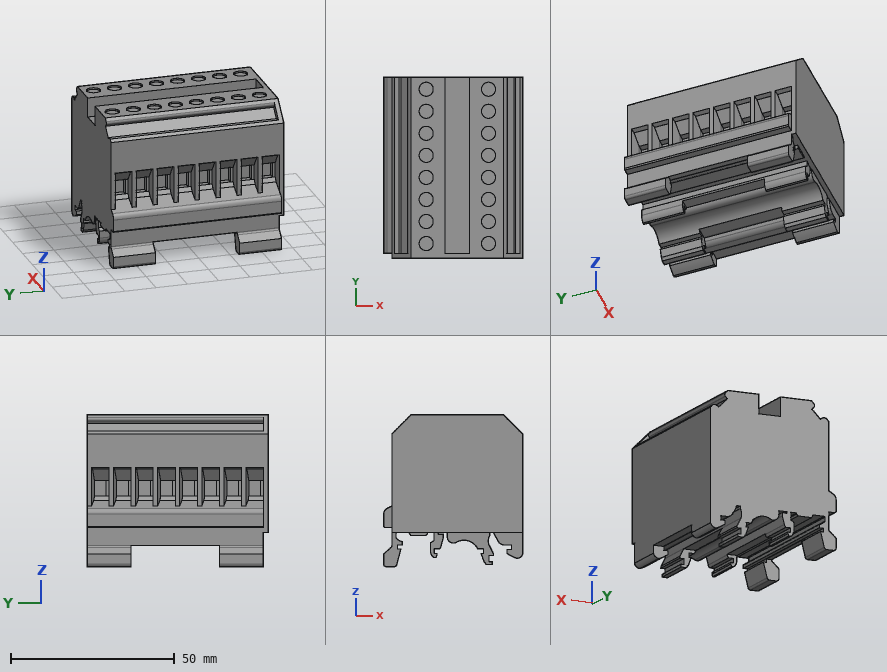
import cadquery as cq
import math


body_width = 40.0
body_height = 36.0
body_length = 53.78
plate_thickness = 1.5
corner_chamfer = 5.9

lip_rise = 0.85
lip_inner_x = 2.2
lip_crown = 0.15
groove_root_x = 2.75
nose_drop = 0.9
nose_radius = 0.75

slot_width = 7.4
slot_depth = 6.2

pole_count = 8
pitch = body_length / pole_count
divider_thickness = 1.35
screw_diameter = 4.3
screw_recess_depth = 0.5
screw_edge_distance = 10.5
screw_offset = 3.7

ledge_reach = 2.5
ledge_slope = math.radians(28)
ledge_root_z = 8.2
ledge_radius = 2.0
ledge_bottom_z = 1.55
ledge_edge_break = 0.4

funnel_top_z = 19.85
funnel_roof_x = 1.4
funnel_roof_z = 19.4
funnel_sill_x = 3.2
funnel_depth = 4.1
channel_bottom_z = 11.2
channel_top_z = 15.9
channel_margin = 0.9
channel_end_x = 6.0

foot_bottom_z = -10.4
foot_length = 2 * pitch
middle_bottom_z = -3.9


def along_y(outline, y_start, y_end):
    """Extrude a closed XZ outline from y_start to y_end."""
    return outline.extrude(y_start - y_end).translate((0, y_start, 0))


def outline_from(points):
    return cq.Workplane("XZ").polyline(points).close()


def box(x_range, y_range, z_range):
    size = [high - low for low, high in (x_range, y_range, z_range)]
    corner = (x_range[0], y_range[0], z_range[0])
    return cq.Workplane("XY").box(*size, centered=False).translate(corner)


def make_plate():
    shoulder_z = body_height - corner_chamfer
    outline = outline_from([
        (0, 0),
        (body_width, 0),
        (body_width, shoulder_z),
        (body_width - corner_chamfer, body_height),
        (corner_chamfer, body_height),
        (0, shoulder_z),
    ])
    return along_y(outline, -plate_thickness, 0)


def make_label_groove():
    """Material removed outside the lip, groove and nose of the X = 0 top corner."""
    shoulder_z = body_height - corner_chamfer
    lip_z = shoulder_z + lip_rise
    root_z = lip_z - (groove_root_x - lip_inner_x)
    nose_z = body_height - nose_drop
    nose_x = corner_chamfer - nose_drop
    nose_chord = math.sqrt(2) * nose_radius
    nose_sagitta = nose_radius - nose_chord / 2
    nose_middle = (nose_x - nose_sagitta, nose_z - nose_chord / 2)
    nose_low_z = nose_z - nose_chord
    undercut_run = (nose_low_z - root_z - nose_x + groove_root_x) / 2
    undercut = (nose_x + undercut_run, nose_low_z - undercut_run)
    outline = (
        cq.Workplane("XZ")
        .moveTo(0, shoulder_z)
        .lineTo(lip_rise, lip_z)
        .threePointArc(((lip_rise + lip_inner_x) / 2, lip_z + lip_crown), (lip_inner_x, lip_z))
        .lineTo(groove_root_x, root_z)
        .lineTo(*undercut)
        .lineTo(nose_x, nose_low_z)
        .threePointArc(nose_middle, (nose_x, nose_z))
        .lineTo(corner_chamfer, body_height)
        .lineTo(0, body_height)
        .close()
    )
    return along_y(outline, 0, body_length)


def make_housing():
    housing = box((0, body_width), (0, body_length), (0, body_height))
    groove = make_label_groove()
    opposite_groove = groove.mirror("YZ", (body_width / 2, 0, 0))
    slot_start = (body_width - slot_width) / 2
    slot = box(
        (slot_start, slot_start + slot_width),
        (0, body_length),
        (body_height - slot_depth, body_height),
    )
    return housing.cut(groove).cut(opposite_groove).cut(slot)


def make_ledge():
    bend = math.pi / 2 - ledge_slope
    centre_x = ledge_radius - ledge_reach
    arc_start_x = centre_x - ledge_radius * math.cos(bend)
    arc_start_z = ledge_root_z + arc_start_x * math.tan(ledge_slope)
    centre_z = arc_start_z - ledge_radius * math.sin(bend)
    arc_middle = (
        centre_x - ledge_radius * math.cos(bend / 2),
        centre_z + ledge_radius * math.sin(bend / 2),
    )
    outline = (
        cq.Workplane("XZ")
        .moveTo(0, ledge_root_z)
        .lineTo(arc_start_x, arc_start_z)
        .threePointArc(arc_middle, (-ledge_reach, centre_z))
        .lineTo(-ledge_reach, ledge_bottom_z + ledge_edge_break)
        .lineTo(ledge_edge_break - ledge_reach, ledge_bottom_z)
        .lineTo(0, ledge_bottom_z)
        .close()
    )
    return along_y(outline, 0, body_length)


def make_wire_entry(far_y):
    """Funnel and channel of the pole whose far side is at far_y."""
    near_y = far_y - pitch
    open_y = far_y - divider_thickness
    side_view = along_y(
        outline_from([
            (0, ledge_root_z),
            (funnel_sill_x, ledge_root_z + funnel_sill_x * math.tan(ledge_slope)),
            (funnel_depth, channel_bottom_z),
            (funnel_depth, channel_top_z),
            (funnel_roof_x, funnel_roof_z),
            (0, funnel_top_z),
        ]),
        near_y,
        open_y,
    )
    plan_view = (
        cq.Workplane("XY")
        .polyline([
            (0, near_y),
            (funnel_depth, near_y),
            (funnel_depth, open_y - channel_margin),
            (0, open_y),
        ])
        .close()
        .extrude(body_height)
    )
    channel = box(
        (funnel_depth, channel_end_x),
        (near_y + channel_margin, open_y - channel_margin),
        (channel_bottom_z, channel_top_z),
    )
    return side_view.intersect(plan_view).union(channel)


def make_screw_recess(x, y):
    return (
        cq.Workplane("XY", origin=(x, y, body_height - screw_recess_depth))
        .circle(screw_diameter / 2)
        .extrude(screw_recess_depth)
    )


def latch_foot():
    """Release latch under the wire-entry side."""
    return (
        cq.Workplane("XZ")
        .moveTo(0, 0)
        .lineTo(0, -3.9)
        .threePointArc((-0.07, -4.25), (-0.35, -4.55))
        .lineTo(-ledge_reach, -6.5)
        .lineTo(-ledge_reach, -9.6)
        .threePointArc((-2.25, -10.15), (-1.7, foot_bottom_z))
        .lineTo(0.8, foot_bottom_z)
        .threePointArc((1.25, -10.2), (1.55, -9.8))
        .lineTo(2.8, -4.95)
        .lineTo(1.8, -4.95)
        .lineTo(1.8, -3.8)
        .lineTo(3.2, -3.8)
        .lineTo(3.2, -2.65)
        .threePointArc((2.1, -2.25), (1.35, -1.55))
        .lineTo(1.35, -0.25)
        .lineTo(1.6, 0)
        .close()
    )


def rest_pad():
    """Shallow pad that rests on the rail."""
    return outline_from([(5.25, 0), (5.8, -0.9), (10.4, -0.9), (10.9, -0.35), (10.9, 0)])


def inner_hook():
    return (
        cq.Workplane("XZ")
        .moveTo(12.85, 0)
        .lineTo(12.85, -2.4)
        .lineTo(11.75, -3.1)
        .lineTo(11.75, -5.4)
        .threePointArc((12.05, -6.7), (12.85, -7.6))
        .lineTo(13.55, -7.6)
        .lineTo(13.8, -6.85)
        .lineTo(13.8, -6.3)
        .lineTo(13.0, -6.3)
        .lineTo(13.0, -4.95)
        .lineTo(14.5, -4.95)
        .threePointArc((14.85, -4.6), (15.05, -4.1))
        .lineTo(15.75, -1.5)
        .lineTo(15.75, -0.45)
        .lineTo(14.2, -0.45)
        .lineTo(14.2, 0)
        .close()
    )


def spring_hook():
    """Arched spring arm with a double-stepped hook."""
    return (
        cq.Workplane("XZ")
        .moveTo(16.9, 0)
        .lineTo(16.9, -1.5)
        .threePointArc((17.6, -2.75), (19.6, -3.0))
        .threePointArc((22.9, -2.4), (26.2, -4.95))
        .lineTo(27.9, -4.95)
        .lineTo(27.9, -6.3)
        .lineTo(27.2, -6.3)
        .lineTo(28.1, -8.8)
        .lineTo(28.8, -9.7)
        .lineTo(30.65, -9.7)
        .lineTo(30.65, -8.8)
        .lineTo(29.7, -8.8)
        .lineTo(29.7, -6.95)
        .lineTo(31.1, -6.95)
        .lineTo(31.0, -6.3)
        .lineTo(29.7, -3.75)
        .threePointArc((29.5, -2.1), (29.95, -0.8))
        .lineTo(29.95, 0)
        .close()
    )


def fixed_hook():
    """Rail hook at the far side of the housing."""
    return (
        cq.Workplane("XZ")
        .moveTo(31.0, 0)
        .lineTo(32.5, -2.75)
        .threePointArc((33.3, -3.5), (34.3, -3.8))
        .lineTo(36.5, -3.8)
        .lineTo(36.5, -5.1)
        .lineTo(35.1, -5.1)
        .lineTo(35.1, -6.3)
        .threePointArc((36.5, -7.15), (38.1, -7.85))
        .threePointArc((39.3, -7.45), (body_width, -6.4))
        .lineTo(body_width, 0)
        .close()
    )


def make_feet():
    feet = cq.Workplane("XY")
    for outline in (latch_foot(), rest_pad(), inner_hook(), spring_hook(), fixed_hook()):
        feet = feet.add(along_y(outline, 0, body_length))
    middle_gap = box(
        (-ledge_reach, body_width),
        (foot_length, body_length - foot_length),
        (foot_bottom_z, middle_bottom_z),
    )
    return feet.combine().cut(middle_gap)


result = make_housing().union(make_plate()).union(make_ledge()).union(make_feet())
for pole in range(pole_count):
    pole_far_y = body_length - pole * pitch
    result = result.cut(make_wire_entry(pole_far_y))
    for screw_x in (screw_edge_distance, body_width - screw_edge_distance):
        result = result.cut(make_screw_recess(screw_x, pole_far_y - screw_offset))